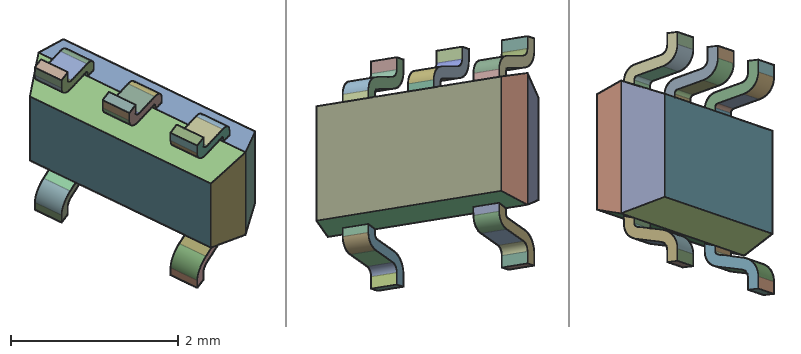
import cadquery as cq
import math


housing_length = 2.9
housing_width = 1.625
standoff = 0.1
parting_y = 0.6
housing_back_y = 1.0
front_draft = 20.0
back_draft = 15.0

lead_span = 2.8
lead_width = 0.375
lead_thickness = 0.145
lead_pitch = 0.95
foot_length = 0.15
foot_inner_radius = 0.11
shoulder_inner_radius = 0.05
web_angle = math.radians(12.0)

upper_lead_x = [-lead_pitch, 0, lead_pitch]
lower_lead_x = [-lead_pitch, lead_pitch]


def make_housing_half(outward, depth, draft):
    """Drafted block that narrows away from the parting plane along the outward direction."""
    parting_plane = cq.Plane(origin=(0, parting_y, 0), xDir=(1, 0, 0), normal=outward)
    outline = cq.Workplane(parting_plane).rect(housing_length, housing_width)
    return outline.extrude(depth, taper=draft)


def make_housing():
    """Front and back halves joined into one solid."""
    front_half = make_housing_half((0, -1, 0), parting_y - standoff, front_draft)
    back_half = make_housing_half((0, 1, 0), housing_back_y - parting_y, back_draft)
    return front_half.union(back_half)


def make_upper_lead(x):
    """Gull-wing lead whose root lies flush on the drafted back half of the housing."""
    toe_z = lead_span / 2
    root_z = housing_width / 2
    root_back_y = parting_y + lead_thickness
    root_back_z = root_z - lead_thickness * math.tan(math.radians(back_draft))

    foot_outer_radius = foot_inner_radius + lead_thickness
    shoulder_outer_radius = shoulder_inner_radius + lead_thickness

    foot_y = foot_outer_radius
    foot_z = toe_z - foot_length
    shoulder_y = parting_y - shoulder_inner_radius
    web_offset = foot_outer_radius + shoulder_inner_radius
    bend_spacing_y = shoulder_y - foot_y
    bend_spacing_z = (web_offset + bend_spacing_y * math.sin(web_angle)) / math.cos(web_angle)
    shoulder_z = foot_z - bend_spacing_z

    def on_foot(radius, angle):
        """Point on the foot bend; the angle runs from the web end toward the foot."""
        return (foot_y - radius * math.sin(angle), foot_z - radius * math.cos(angle))

    def on_shoulder(radius, angle):
        """Point on the shoulder bend; the angle runs from the web end toward the root."""
        return (shoulder_y + radius * math.sin(angle), shoulder_z + radius * math.cos(angle))

    bend_end = math.pi / 2
    bend_middle = (web_angle + bend_end) / 2

    profile = (
        cq.Workplane("YZ", origin=(x, 0, 0))
        .moveTo(parting_y, root_z)
        .lineTo(*on_shoulder(shoulder_inner_radius, bend_end))
        .threePointArc(
            on_shoulder(shoulder_inner_radius, bend_middle),
            on_shoulder(shoulder_inner_radius, web_angle),
        )
        .lineTo(*on_foot(foot_outer_radius, web_angle))
        .threePointArc(
            on_foot(foot_outer_radius, bend_middle),
            on_foot(foot_outer_radius, bend_end),
        )
        .lineTo(0, toe_z)
        .lineTo(lead_thickness, toe_z)
        .lineTo(*on_foot(foot_inner_radius, bend_end))
        .threePointArc(
            on_foot(foot_inner_radius, bend_middle),
            on_foot(foot_inner_radius, web_angle),
        )
        .lineTo(*on_shoulder(shoulder_outer_radius, web_angle))
        .threePointArc(
            on_shoulder(shoulder_outer_radius, bend_middle),
            on_shoulder(shoulder_outer_radius, bend_end),
        )
        .lineTo(root_back_y, root_back_z)
        .close()
    )
    return profile.extrude(lead_width / 2, both=True)


def make_lower_lead(x):
    """Same lead, mirrored to the -Z side."""
    return make_upper_lead(x).mirror("XY")


housing = make_housing()
upper_leads = [make_upper_lead(x) for x in upper_lead_x]
lower_leads = [make_lower_lead(x) for x in lower_lead_x]

result = cq.Compound.makeCompound(
    [housing.val()] + [lead.val() for lead in upper_leads + lower_leads]
)